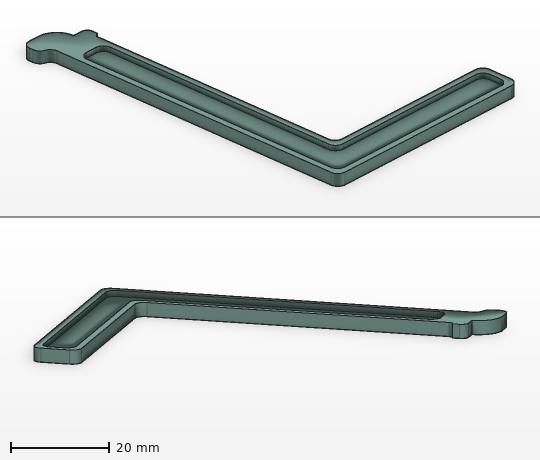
import cadquery as cq
import math

length = 85.0
depth = 57.0
thickness = 3.0

arm_width = 10.0
arm_bottom = 3.0
arm_top = arm_bottom + arm_width
upright_left = length - arm_width
corner_radius = 2.0

rim = 1.5
pocket_left = 11.8
pocket_depth = 1.3

hook_flat_end = 3.1
shoulder_radius = 5.0
shoulder_top = 2 * shoulder_radius
knob_right = 8.0
knob_height = 1.0
knob_top = arm_top + knob_height
knob_radius = 1.5

DIAGONAL = math.sqrt(0.5)


def round_corner(sketch, center, radius, mid_direction, end_direction):
    """Add a quarter arc through its midpoint; the sketch is already at its start."""
    center_x, center_y = center
    mid_x, mid_y = mid_direction
    end_x, end_y = end_direction
    middle = (center_x + radius * DIAGONAL * mid_x, center_y + radius * DIAGONAL * mid_y)
    end = (center_x + radius * end_x, center_y + radius * end_y)
    return sketch.threePointArc(middle, end)


def end_piece():
    """Hook, shoulder and knob, reaching a short way into the long arm."""
    root_x = pocket_left
    blend_rise = 2 * corner_radius - arm_bottom
    blend_run = math.sqrt((2 * corner_radius) ** 2 - blend_rise ** 2)
    blend_end = hook_flat_end + blend_run
    inflection = (hook_flat_end + blend_run / 2, arm_bottom / 2)

    sketch = cq.Workplane("XY").moveTo(root_x, arm_bottom).lineTo(blend_end, arm_bottom)
    sketch = sketch.tangentArcPoint(inflection, relative=False)
    sketch = sketch.tangentArcPoint((hook_flat_end, 0), relative=False)
    sketch = sketch.lineTo(corner_radius, 0)
    sketch = round_corner(sketch, (corner_radius, corner_radius), corner_radius, (-1, -1), (-1, 0))
    sketch = sketch.lineTo(0, shoulder_top - shoulder_radius)
    shoulder_center = (shoulder_radius, shoulder_top - shoulder_radius)
    sketch = round_corner(sketch, shoulder_center, shoulder_radius, (-1, 1), (0, 1))
    sketch = sketch.lineTo(shoulder_radius, knob_top - knob_radius)
    knob_center = (shoulder_radius + knob_radius, knob_top - knob_radius)
    sketch = round_corner(sketch, knob_center, knob_radius, (-1, 1), (0, 1))
    sketch = sketch.lineTo(knob_right, knob_top)
    fillet_center = (knob_right + knob_height, knob_top)
    sketch = round_corner(sketch, fillet_center, knob_height, (-1, -1), (0, -1))
    return sketch.lineTo(root_x, arm_top).close().extrude(thickness)


def angle_plate(left, inset, height):
    """L-shaped plate with its sides moved inward by inset and a square left end."""
    return (
        cq.Workplane("XY")
        .moveTo(left, arm_bottom + inset)
        .lineTo(length - inset, arm_bottom + inset)
        .lineTo(length - inset, depth - inset)
        .lineTo(upright_left + inset, depth - inset)
        .lineTo(upright_left + inset, arm_top - inset)
        .lineTo(left, arm_top - inset)
        .close()
        .extrude(height)
    )


arms_left = (knob_right + knob_height + pocket_left) / 2
arms = angle_plate(arms_left, 0, thickness)
arms = arms.edges("|Z").edges("not <X").fillet(corner_radius)

pocket = angle_plate(pocket_left, rim, pocket_depth).edges("|Z").fillet(corner_radius)
pocket = pocket.translate((0, 0, thickness - pocket_depth))

result = arms.union(end_piece()).clean().cut(pocket)